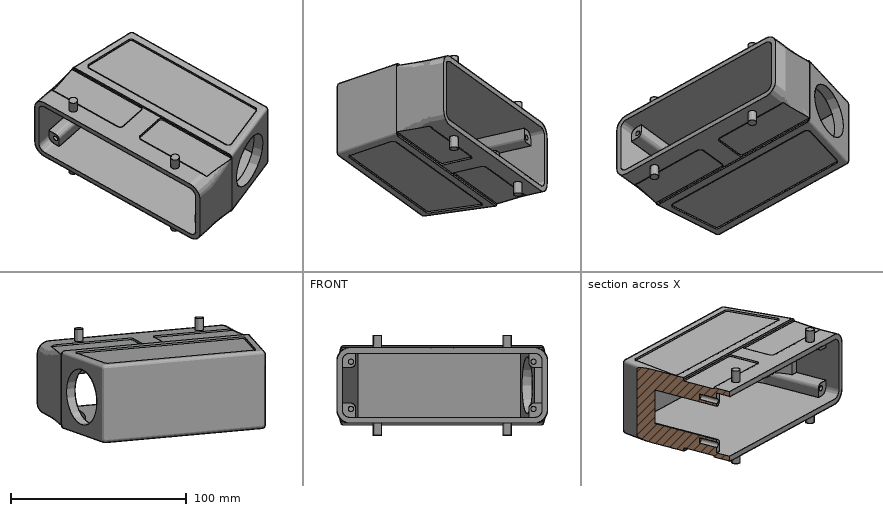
import cadquery as cq
import math

length = 76.0
rim_half_width = 60.0
rim_half_height = 21.5
rim_radius = 7.5
rim_depth = 9.0

shoulder_y = 31.9
neck_half_width = 58.1
neck_end_radius = 1.2
neck_blend_power = 1.5
neck_steps = 4

body_half_width = 58.0
body_half_height = 22.7
side_angle = 10.5
body_edge_radius = 2.0
side_slope = math.tan(math.radians(side_angle))

wall = 3.1
cavity_half_width = rim_half_width - wall
cavity_half_height = 18.2
cavity_radius = 4.3
cavity_floor_y = 73.2
cavity_taper_y = 25.2
entry_step = 4.3
entry_step_y = 29.4
entry_diameter = 32.0
entry_center_y = 52.1
entry_overrun = 4.8

post_front_y = 9.0
post_inner_x = 49.3
post_inner_z = 10.1
post_radius = 3.0
post_hole_diameter = 3.0
post_hole_x = 52.0
post_hole_z = 13.5
post_hole_depth = 12.0

pin_diameter = 4.9
pin_x = 37.0
pin_y = 6.2
pin_span = 57.0

recess_depth = 0.8
recess_draft = 20.0
recess_radius = 2.0
rib_half_width = 6.2
grip_front_y = 11.0
panel_front_y = 37.0
panel_back_y = 70.5
panel_margin = 4.8


def body_half_width_at(y):
    return body_half_width - (y - shoulder_y) * side_slope


def both_faces(shape):
    """The shape together with its mirror image on the opposite Z side."""
    return shape.union(shape.mirror("XY"))


def both_sides(shape):
    """The shape together with its mirror image on the opposite X side."""
    return shape.union(shape.mirror("YZ"))


def rounded_rectangle(half_width, half_height, radius):
    return cq.Sketch().rect(2 * half_width, 2 * half_height).vertices().fillet(radius)


def trapezoid(front_y, back_y, front_half_width, back_half_width):
    return [
        (-front_half_width, front_y),
        (front_half_width, front_y),
        (back_half_width, back_y),
        (-back_half_width, back_y),
    ]


def make_rim():
    outline = rounded_rectangle(rim_half_width, rim_half_height, rim_radius)
    return cq.Workplane("XZ").placeSketch(outline).extrude(-rim_depth)


def make_neck():
    """Corner radius shrinks slowly behind the rim and faster towards the shoulder."""
    sections = []
    for step in range(neck_steps + 1):
        fraction = step / neck_steps
        y = rim_depth + fraction * (shoulder_y - rim_depth)
        half_width = rim_half_width + fraction * (neck_half_width - rim_half_width)
        radius = rim_radius + fraction ** neck_blend_power * (neck_end_radius - rim_radius)
        outline = rounded_rectangle(half_width, rim_half_height, radius)
        sections.append(outline.moved(cq.Location(cq.Vector(0, 0, -y))))
    return cq.Workplane("XZ").placeSketch(*sections).loft()


def make_body():
    outline = trapezoid(shoulder_y, length, body_half_width, body_half_width_at(length))
    return (
        cq.Workplane("XY", origin=(0, 0, -body_half_height))
        .polyline(outline)
        .close()
        .extrude(2 * body_half_height)
        .edges("not <Y")
        .fillet(body_edge_radius)
    )


def entry_face_x(y):
    """Sloped inner face on the +X side, behind the step."""
    return cavity_half_width - entry_step - (y - entry_step_y) * side_slope


def make_cavity():
    """Straight rounded mouth, then a pocket with sloped sides; the +X side steps in for the cable entry."""
    mouth = (
        cq.Workplane("XZ")
        .placeSketch(rounded_rectangle(cavity_half_width, cavity_half_height, cavity_radius))
        .extrude(-cavity_taper_y)
    )
    inward = (cavity_floor_y - cavity_taper_y) * side_slope
    pocket = (
        cq.Workplane("XY", origin=(0, 0, -cavity_half_height))
        .moveTo(-cavity_half_width, cavity_taper_y)
        .lineTo(cavity_half_width, cavity_taper_y)
        .lineTo(cavity_half_width, entry_step_y)
        .lineTo(entry_face_x(entry_step_y), entry_step_y)
        .lineTo(entry_face_x(cavity_floor_y), cavity_floor_y)
        .lineTo(inward - cavity_half_width, cavity_floor_y)
        .close()
        .extrude(2 * cavity_half_height)
    )
    return mouth.union(pocket)


def make_entry_hole():
    """Cable entry, square to the sloped +X side."""
    angle = math.radians(side_angle)
    axis = cq.Vector(math.cos(angle), math.sin(angle), 0)
    start = cq.Vector(entry_face_x(entry_center_y), entry_center_y, 0) - axis * entry_overrun
    reach = 2 * entry_overrun + wall + entry_step
    return cq.Workplane(cq.Solid.makeCylinder(entry_diameter / 2, reach, start, axis))


def make_posts():
    """Posts fill the cavity corners from just behind the rim to the floor."""
    width = rim_half_width - post_inner_x
    height = rim_half_height - post_inner_z
    post = (
        cq.Workplane("XZ", origin=(post_inner_x + width / 2, post_front_y, post_inner_z + height / 2))
        .rect(width, height)
        .extrude(post_front_y - cavity_floor_y)
        .edges("|Y and <X and <Z")
        .fillet(post_radius)
    )
    return both_sides(both_faces(post))


def make_post_holes():
    return (
        cq.Workplane("XZ", origin=(0, post_front_y, 0))
        .rect(2 * post_hole_x, 2 * post_hole_z, forConstruction=True)
        .vertices()
        .circle(post_hole_diameter / 2)
        .extrude(-post_hole_depth)
    )


def make_pins():
    pins = (
        cq.Workplane("XY", origin=(0, pin_y, cavity_half_height))
        .pushPoints([(-pin_x, 0), (pin_x, 0)])
        .circle(pin_diameter / 2)
        .extrude(pin_span / 2 - cavity_half_height)
    )
    return both_faces(pins)


def make_recess(outline, face_z):
    """Shallow pocket with drafted walls, sunk into a face and into its opposite."""
    sketch = cq.Sketch().polygon(outline + outline[:1]).vertices().fillet(recess_radius)
    recess = cq.Workplane("XY", origin=(0, 0, face_z)).placeSketch(sketch)
    return both_faces(recess.extrude(-recess_depth, taper=recess_draft))


def make_grip_recesses():
    """Two recesses either side of a centre rib, running out through the neck corners."""
    run_out = rim_half_width + rim_radius
    recess = make_recess(
        [
            (rib_half_width, grip_front_y),
            (run_out, grip_front_y),
            (run_out, shoulder_y),
            (rib_half_width, shoulder_y),
        ],
        rim_half_height,
    )
    return both_sides(recess)


def make_panel_recess():
    front = body_half_width_at(panel_front_y) - panel_margin
    back = body_half_width_at(panel_back_y) - panel_margin
    return make_recess(trapezoid(panel_front_y, panel_back_y, front, back), body_half_height)


cavity = make_cavity()
shell = make_rim().union(make_neck()).cut(make_grip_recesses())
shell = shell.union(make_body().cut(make_panel_recess()))
shell = shell.cut(cavity).cut(make_entry_hole())
posts = make_posts().intersect(cavity).cut(make_post_holes())
result = shell.union(posts).union(make_pins())